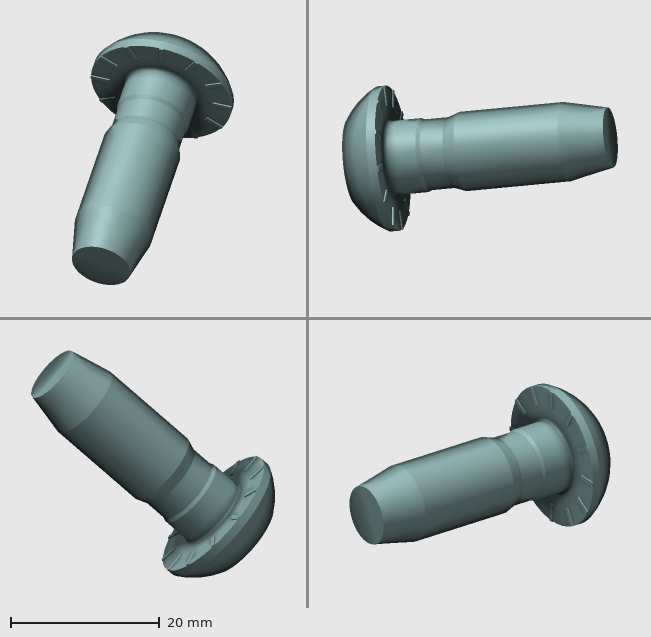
import cadquery as cq
import math

total_length = 35.7

head_radius = 9.8
crown_radius = 5.85
dome_height = 4.32
rim_height = 1.2

collar_radius = 5.0
neck_radius = 4.8
body_radius = 5.35
tip_radius = 4.07
collar_end = 9.92
neck_start = 10.45
neck_end = 13.67
body_start = 15.3
taper_start = 29.7
underhead_fillet = 0.43

rib_count = 12
rib_width = 0.6
rib_height = 0.18
rib_inner_radius = 7.2

seam_angle = 180 / rib_count
rim_top_y = total_length - dome_height
underside_y = rim_top_y - rim_height

sphere_centre_depth = (head_radius**2 - crown_radius**2 + dome_height**2) / (2 * dome_height)
sphere_radius = math.hypot(crown_radius, sphere_centre_depth)
dome_mid_radius = math.sqrt(sphere_radius**2 - (sphere_centre_depth - dome_height / 2) ** 2)


def make_turned_body():
    fillet_outer_radius = collar_radius + underhead_fillet
    fillet_end_y = underside_y - underhead_fillet
    arc_offset = underhead_fillet * math.sqrt(0.5)
    profile = (
        cq.Workplane("XY")
        .moveTo(0, 0)
        .lineTo(tip_radius, 0)
        .lineTo(body_radius, total_length - taper_start)
        .lineTo(body_radius, total_length - body_start)
        .lineTo(neck_radius, total_length - neck_end)
        .lineTo(neck_radius, total_length - neck_start)
        .lineTo(collar_radius, total_length - collar_end)
        .lineTo(collar_radius, fillet_end_y)
        .threePointArc(
            (fillet_outer_radius - arc_offset, fillet_end_y + arc_offset),
            (fillet_outer_radius, underside_y),
        )
        .lineTo(head_radius, underside_y)
        .lineTo(head_radius, rim_top_y)
        .threePointArc(
            (dome_mid_radius, total_length - dome_height / 2),
            (crown_radius, total_length),
        )
        .lineTo(0, total_length)
        .close()
    )
    turned = profile.revolve(360, (0, 0, 0), (0, 1, 0))
    return turned.rotate((0, 0, 0), (0, 1, 0), seam_angle)


def make_ribs():
    bar_length = head_radius - rib_inner_radius + rib_width
    bar_centre = rib_inner_radius + bar_length / 2
    plane = cq.Workplane("XZ", origin=(0, underside_y, 0))
    bars = (
        plane.polarArray(bar_centre, 0, 360, rib_count)
        .rect(bar_length, rib_width)
        .extrude(rib_height)
    )
    rim_disc = plane.circle(head_radius).extrude(rib_height).rotate((0, 0, 0), (0, 1, 0), seam_angle)
    return bars.intersect(rim_disc)


result = make_turned_body().union(make_ribs())